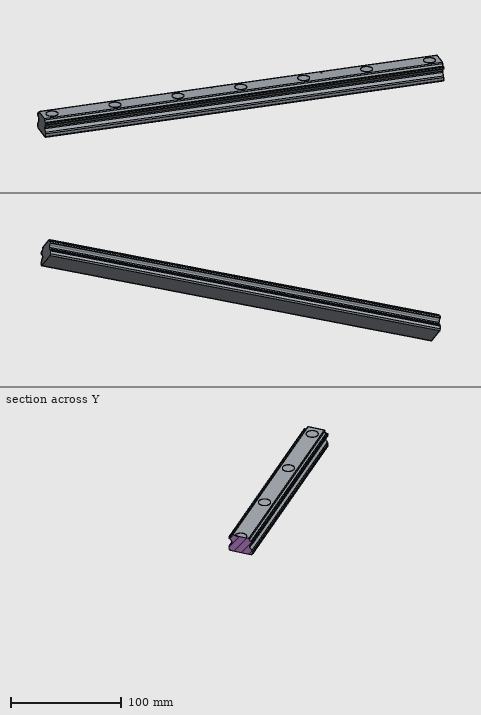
import cadquery as cq

length = 380.0
width = 23.0
height = 18.0
half_width = width / 2

foot_bevel = 1.33
foot_side_top = 4.0
foot_groove_width = 0.57
foot_groove_height = 1.33
foot_groove_depth = 0.2
flank_half_width = half_width - foot_groove_width
flank_bottom = foot_side_top + foot_groove_height

flank_width = 2.3
flank_height = 2.47
waist_length = 1.33
waist_half_width = flank_half_width - flank_width
waist_bottom = flank_bottom + flank_height
waist_top = waist_bottom + waist_length

slope_width = 0.8
slope_height = 2.0
head_lip_width = 0.8
neck_groove_height = 1.5
neck_groove_depth = 0.2
neck_half_width = waist_half_width + slope_width
neck_bottom = waist_top + slope_height
head_bottom = neck_bottom + neck_groove_height

head_side_height = 1.7
ledge_bevel_width = 0.57
ledge_bevel_height = 0.5
ledge_width = 1.0
top_half_width = 8.0
top_bevel_width = 0.57
top_bevel_height = 1.0
head_groove_depth = 0.5
head_side_top = head_bottom + head_side_height
ledge_half_width = half_width - ledge_bevel_width
ledge_height = head_side_top + ledge_bevel_height

hole_count = 7
hole_pitch = 60.0
cap_diameter = 11.0
cap_recess = 0.2


def rail_body():
    """Extrude the right half of the section along Y and mirror it."""
    half_section = (
        cq.Workplane("XZ")
        .lineTo(half_width - foot_bevel, 0)
        .lineTo(half_width, foot_bevel)
        .lineTo(half_width, foot_side_top)
        .sagittaArc((flank_half_width, flank_bottom), foot_groove_depth)
        .lineTo(waist_half_width, waist_bottom)
        .lineTo(waist_half_width, waist_top)
        .lineTo(neck_half_width, neck_bottom)
        .sagittaArc((half_width - head_lip_width, head_bottom), neck_groove_depth)
        .lineTo(half_width, head_bottom)
        .lineTo(half_width, head_side_top)
        .lineTo(ledge_half_width, ledge_height)
        .lineTo(ledge_half_width - ledge_width, ledge_height)
        .sagittaArc((top_half_width + top_bevel_width, height - top_bevel_height), head_groove_depth)
        .lineTo(top_half_width, height)
        .lineTo(0, height)
        .close()
    )
    half_rail = half_section.extrude(length / 2, both=True)
    return half_rail.union(half_rail.mirror("YZ")).clean()


def cap_recesses():
    """Shallow round recesses over the caps, centred along the rail."""
    return (
        cq.Workplane("XY", origin=(0, 0, height - cap_recess))
        .rarray(3.8, hole_pitch, 1, hole_count)
        .circle(cap_diameter / 2)
        .extrude(cap_recess)
    )


result = rail_body().cut(cap_recesses())